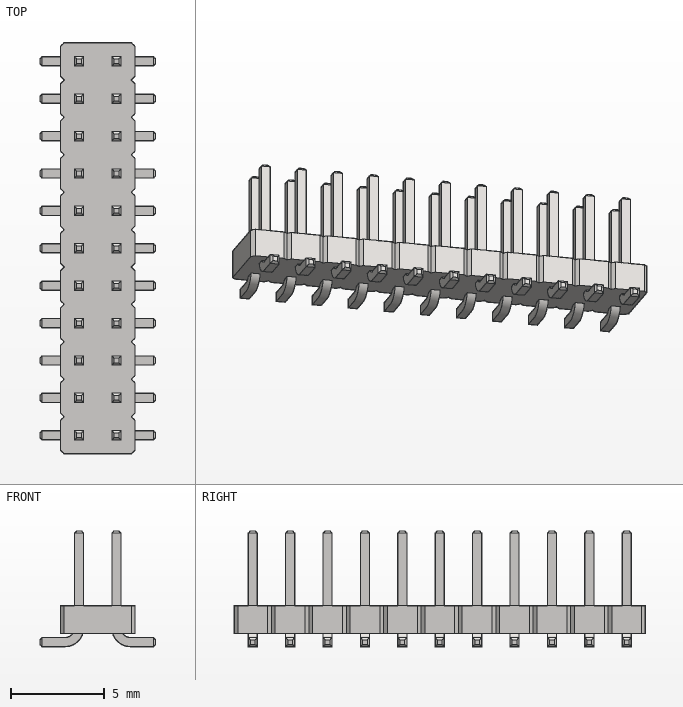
import cadquery as cq
import math

pitch = 2.0
row_count = 11
column_positions = (-pitch / 2, pitch / 2)
row_positions = [(row - (row_count - 1) / 2) * pitch for row in range(row_count)]

body_width = pitch * len(column_positions)
body_length = row_count * pitch
body_height = 1.5
body_bottom = 0.7
notch_depth = 0.2
notch_half_length = notch_depth

pin_size = 0.5
pin_top = 6.2
foot_span = 6.2
tip_length = 0.125
tip_size = pin_size - 2 * tip_length
bend_outer_radius = 1.0
bend_inner_radius = bend_outer_radius - pin_size


def make_body():
    """Block with chamfered corners and a V-notch on both sides between neighbouring rows."""
    half_width = body_width / 2
    right_side = []
    for y in row_positions:
        start = y - pitch / 2
        end = y + pitch / 2
        right_side += [
            (half_width - notch_depth, start),
            (half_width, start + notch_half_length),
            (half_width, end - notch_half_length),
        ]
    right_side.append((half_width - notch_depth, body_length / 2))
    left_side = [(-x, -y) for x, y in right_side]
    outline = cq.Workplane("XY").workplane(offset=body_bottom).polyline(right_side + left_side)
    return outline.close().extrude(body_height)


def make_tip(plane):
    """Truncated pyramid that ends a square pin, growing along the plane normal."""
    return (
        cq.Workplane(plane)
        .rect(pin_size, pin_size)
        .workplane(offset=tip_length)
        .rect(tip_size, tip_size)
        .loft(ruled=True)
    )


def make_pin():
    """Right-hand pin at Y = 0: straight post, quarter bend, and a foot pointing along +X."""
    post_x = column_positions[1]
    inner_x = post_x - pin_size / 2
    outer_x = post_x + pin_size / 2
    post_end = pin_top - tip_length
    foot_end = foot_span / 2 - tip_length
    bend_x = inner_x + bend_outer_radius
    bend_z = bend_outer_radius
    diagonal = math.cos(math.pi / 4)
    outer_mid = (bend_x - bend_outer_radius * diagonal, bend_z - bend_outer_radius * diagonal)
    inner_mid = (bend_x - bend_inner_radius * diagonal, bend_z - bend_inner_radius * diagonal)
    shaft = (
        cq.Workplane("XZ")
        .moveTo(inner_x, post_end)
        .lineTo(inner_x, bend_z)
        .threePointArc(outer_mid, (bend_x, 0))
        .lineTo(foot_end, 0)
        .lineTo(foot_end, pin_size)
        .lineTo(bend_x, pin_size)
        .threePointArc(inner_mid, (outer_x, bend_z))
        .lineTo(outer_x, post_end)
        .close()
        .extrude(pin_size / 2, both=True)
    )
    post_tip = make_tip(cq.Plane((post_x, 0, post_end)))
    foot_tip = make_tip(cq.Plane((foot_end, 0, pin_size / 2), xDir=(0, 1, 0), normal=(1, 0, 0)))
    return shaft.union(post_tip).union(foot_tip)


right_pin = make_pin()
left_pin = right_pin.mirror("YZ")
result = make_body()
for row_y in row_positions:
    result = result.union(right_pin.translate((0, row_y, 0)))
    result = result.union(left_pin.translate((0, row_y, 0)))